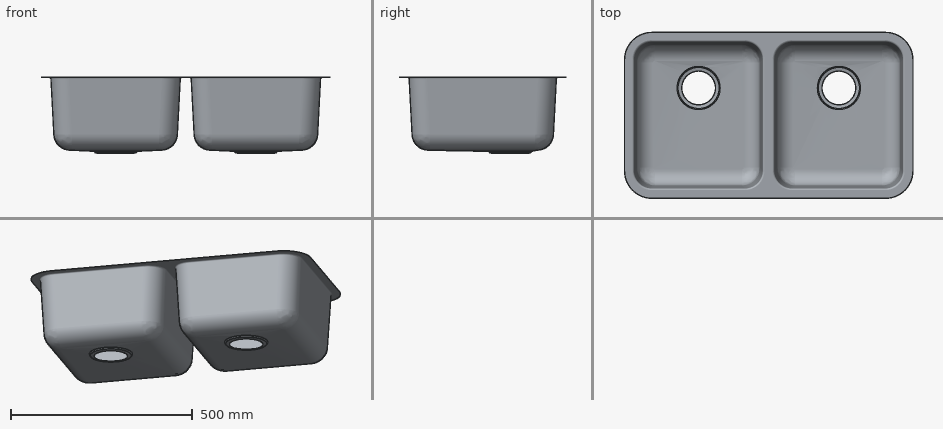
import cadquery as cq
import math


rim_length = 794.0
rim_width = 457.0
total_height = 210.5
rim_border = 22.0
sheet = 1.3
lip_radius = 5.0

draft = 3.0
corner_radius = 49.0
floor_radius = 44.5
floor_depth = 200.0

drain_offset_y = 75.5
seat_radius = 59.5
seat_floor_radius = 56.0
hole_radius = 46.0
fold_angle = 135.0
floor_fall = 3.0
seat_step = 4.0

wall_angle = math.radians(draft)
opening_length = (rim_length - 3 * rim_border) / 2
opening_width = rim_width - 2 * rim_border
bowl_offset_x = (opening_length + rim_border) / 2
lip_run = lip_radius * math.tan((math.pi / 2 - wall_angle) / 2)
top_length = opening_length - 2 * lip_run
top_width = opening_width - 2 * lip_run
rim_corner_radius = corner_radius + lip_radius + rim_border

floor_bend_run = floor_radius * math.tan((math.pi / 2 - wall_angle) / 2)
floor_inset = floor_depth * math.tan(wall_angle) + floor_bend_run
floor_length = top_length - 2 * floor_inset
floor_width = top_width - 2 * floor_inset
floor_corner_radius = corner_radius - floor_radius


def basin(growth):
    """Drafted, rounded bowl body; growth pushes every face outward along its normal."""
    widening = 2 * growth / math.cos(wall_angle)
    body = (
        cq.Workplane("XY")
        .rect(top_length + widening, top_width + widening)
        .extrude(-(floor_depth + growth), taper=draft)
    )
    body = body.edges("not(#Z)").fillet(corner_radius + growth)
    return body.faces("<Z").edges().fillet(floor_radius + growth)


def sloping_floor(floor_z, seat_z):
    """Solid between the flat floor outline and the lower drain circle, joined by two half surfaces."""
    half_x = floor_length / 2
    half_y = floor_width / 2
    r = floor_corner_radius
    cut_back = r * (1 - math.sqrt(0.5))

    def corner(sign_x, sign_y):
        start = cq.Vector(sign_x * half_x, sign_y * (half_y - r), floor_z)
        middle = cq.Vector(sign_x * (half_x - cut_back), sign_y * (half_y - cut_back), floor_z)
        end = cq.Vector(sign_x * (half_x - r), sign_y * half_y, floor_z)
        return start, middle, end

    def on_seat(degrees):
        angle = math.radians(degrees)
        across = seat_radius * math.cos(angle)
        along = drain_offset_y + seat_radius * math.sin(angle)
        return cq.Vector(across, along, seat_z)

    right_back = corner(1, 1)
    left_back = corner(-1, 1)
    left_front = corner(-1, -1)
    right_front = corner(1, -1)
    line = cq.Edge.makeLine
    arc = cq.Edge.makeThreePointArc

    back_half_edge = [
        line(right_front[0], right_back[0]),
        arc(*right_back),
        line(right_back[2], left_back[2]),
    ]
    front_half_edge = [
        arc(*reversed(left_back)),
        line(left_back[0], left_front[0]),
        arc(*left_front),
        line(left_front[2], right_front[2]),
        arc(*reversed(right_front)),
    ]
    left_fold = line(left_back[2], on_seat(fold_angle))
    right_fold = line(right_front[0], on_seat(fold_angle - 180))
    back_arc = arc(on_seat(fold_angle - 180), on_seat(fold_angle - 90), on_seat(fold_angle))
    front_arc = arc(on_seat(fold_angle), on_seat(fold_angle + 90), on_seat(fold_angle + 180))

    faces = [
        cq.Face.makeNSidedSurface(back_half_edge + [left_fold, back_arc, right_fold], []),
        cq.Face.makeNSidedSurface(front_half_edge + [right_fold, front_arc, left_fold], []),
        cq.Face.makeFromWires(cq.Wire.assembleEdges(back_half_edge + front_half_edge)),
        cq.Face.makeFromWires(cq.Wire.assembleEdges([back_arc, front_arc])),
    ]
    return cq.Workplane(cq.Solid.makeSolid(cq.Shell.makeShell(faces)))


def drain_well(growth):
    """Floor falling to the drain, then the stepped conical seat, below the basin."""
    floor_z = -floor_depth - growth
    seat_z = floor_z - floor_fall
    lowest_z = -total_height + sheet - growth
    seat = (
        cq.Workplane("XZ")
        .moveTo(0, seat_z)
        .lineTo(seat_radius, seat_z)
        .lineTo(seat_floor_radius, seat_z - seat_step)
        .lineTo(hole_radius, lowest_z)
        .lineTo(0, lowest_z)
        .close()
        .revolve(360, (0, 0), (0, 1))
        .translate((0, drain_offset_y, 0))
    )
    return sloping_floor(floor_z, seat_z).union(seat)


def at_bowls(body):
    """The body at the left bowl, with its mirror image at the right one."""
    left = body.translate((-bowl_offset_x, 0, 0))
    return left.union(left.mirror("YZ"))


def bowl_mouths(z):
    """Selects the edges around the bowl openings at height z."""
    reach_x = rim_length / 2 - rim_border / 2
    reach_y = rim_width / 2 - rim_border / 2
    return cq.selectors.BoxSelector((-reach_x, -reach_y, z - sheet / 4), (reach_x, reach_y, z + sheet / 4))


rim = cq.Workplane("XY").rect(rim_length, rim_width).extrude(-sheet)
metal = rim.union(at_bowls(basin(sheet).union(drain_well(sheet))))
metal = metal.edges(bowl_mouths(-sheet)).fillet(lip_radius - sheet)

metal = metal.cut(at_bowls(basin(0).union(drain_well(0))))
metal = metal.edges(bowl_mouths(0)).fillet(lip_radius)

drain_hole = cq.Workplane("XY").center(0, drain_offset_y).circle(hole_radius).extrude(-total_height)
metal = metal.cut(at_bowls(drain_hole))

result = metal.faces("<X or >X").edges("|Z").fillet(rim_corner_radius)